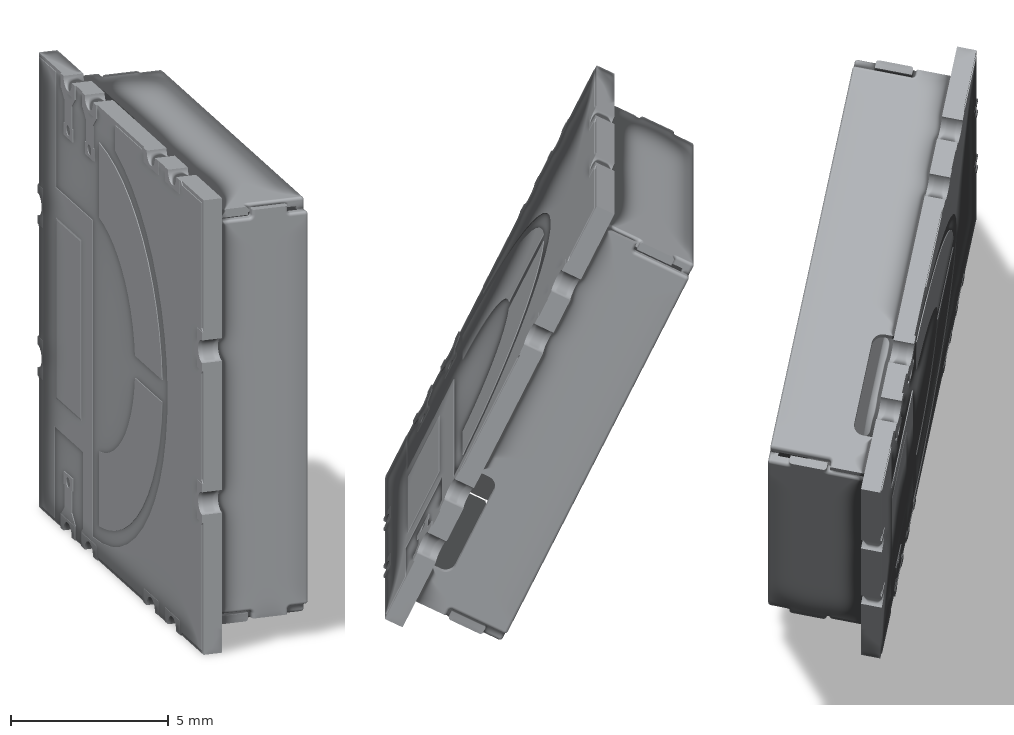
import cadquery as cq
import math


BOARD_SIDE = 15.24
BOARD_HALF = BOARD_SIDE / 2
BOARD_THICK = 0.62
FRONT_Y = -BOARD_THICK
PAD_HEIGHT = 0.05
COPPER_HEIGHT = 0.03

NOTCH_RADIUS = 0.38
PAD_HALF_WIDTH = 0.65
PAD_DEPTH = 0.47
OUTER_PITCH = 4.83
INNER_PITCH = 2.87
SIDE_PITCH = 2.55

EDGE_PLACES = [
    (x, z)
    for x in (-OUTER_PITCH, -INNER_PITCH, INNER_PITCH, OUTER_PITCH)
    for z in (-BOARD_HALF, BOARD_HALF)
]
SIDE_PLACES = [(x, z) for x in (-BOARD_HALF, BOARD_HALF) for z in (-SIDE_PITCH, SIDE_PITCH)]

FRAME = 0.12
PAD_GAP = 0.1
PAD_REACH = PAD_HALF_WIDTH + PAD_GAP
SWEEP_X = -2.6
SWEEP_RADIUS = 6.98
SWEEP_LEFT_END = -0.49
UPPER_VOID_LEFT = -6.0
UPPER_VOID_BOTTOM = 3.63
LOWER_VOID_LEFT = -6.11
LOWER_VOID_RIGHT = -3.45
LOWER_VOID_TOP = -4.42
LOWER_VOID_CHAMFER = 0.17

RING_OUTER = 6.46
RING_INNER = 3.98
RING_LEFT = -1.98
RING_GAP = 0.75

TRACE_HALF_WIDTH = 0.32
TRACE_END_HALF_WIDTH = 0.41
TRACE_END_SIZE = 0.43
TRACE_LENGTH = 1.51
VIA_RADIUS = 0.17
VIA_INSET = 0.26
SIGNAL_PLACES = [(-OUTER_PITCH, 1), (-INNER_PITCH, 1), (-OUTER_PITCH, -1)]

LABEL_WIDTH = 2.33
LABEL_HEIGHT = 6.07
LABEL_X = -4.77
LABEL_Z = -0.4
LABEL_EDGE = 0.06

CAN_SIDE = 13.9
CAN_HALF = CAN_SIDE / 2
CAN_HEIGHT = 3.15
WALL = 0.27
CORNER_CUT = 0.37
BEND_RADIUS = 0.099
CAN_INNER = CAN_HALF - WALL
CAN_CUT = CAN_HALF - CORNER_CUT
TAB_HALF = CAN_HALF - BEND_RADIUS
SIDE_TAB_BOTTOM = CAN_HEIGHT - 1.89
SIDE_TAB_TOP = CAN_HEIGHT - 0.69
END_LEDGE_TOP = CAN_HEIGHT - 2.0
PROBE = 0.02

OPENING_LEFT = -5.6
OPENING_RIGHT = -2.12
OPENING_HEIGHT = 0.7
OPENING_RADIUS = 0.35

BEAD_RADIUS = 0.47
BEAD_BEND_X = -4.02
BEAD_BEND_RADIUS = 1.02
BEAD_END_X = OPENING_RIGHT + BEAD_RADIUS
BEAD_Z = 5.49


def block(x0, x1, y0, y1, z0, z1):
    """Box between two opposite corners."""
    return cq.Workplane("XY").box(x1 - x0, y1 - y0, z1 - z0, centered=False).translate((x0, y0, z0))


def front_sketch(y):
    """Workplane seen from -Y, with local axes along +X and +Z."""
    return cq.Workplane("XZ", origin=(0, y, 0))


def copper(points):
    """Raised copper area with a straight-sided outline."""
    return front_sketch(FRONT_Y).polyline(points).close().extrude(COPPER_HEIGHT)


def edge_bridge(low, high, angle):
    """Copper joining the ground area to a board edge, tapering outward.

    It is drawn on the +X edge between the heights low and high, then turned about Y.
    """
    inset = BOARD_HALF - FRAME
    bridge = copper([
        (inset, low),
        (BOARD_HALF, low + FRAME),
        (BOARD_HALF, high - FRAME),
        (inset, high),
    ])
    return bridge.rotate((0, 0, 0), (0, 1, 0), angle)


def upper_void():
    """Copper-free region with the signal pads and ring islands, bounded by an arc on the right."""
    arc_top = math.sqrt(SWEEP_RADIUS**2 - (SWEEP_LEFT_END - SWEEP_X) ** 2)
    return (
        front_sketch(FRONT_Y)
        .moveTo(UPPER_VOID_LEFT, BOARD_HALF)
        .lineTo(UPPER_VOID_LEFT, UPPER_VOID_BOTTOM)
        .lineTo(SWEEP_X, UPPER_VOID_BOTTOM)
        .lineTo(SWEEP_X, -SWEEP_RADIUS)
        .threePointArc((SWEEP_X + SWEEP_RADIUS, 0), (SWEEP_LEFT_END, arc_top))
        .lineTo(SWEEP_LEFT_END, BOARD_HALF)
        .close()
        .extrude(COPPER_HEIGHT)
    )


def lower_void():
    """Copper-free region around the lower signal pad."""
    neighbour_left = -INNER_PITCH - PAD_REACH
    pad_top = -BOARD_HALF + PAD_DEPTH
    return copper([
        (LOWER_VOID_LEFT, -BOARD_HALF),
        (LOWER_VOID_LEFT, LOWER_VOID_TOP),
        (LOWER_VOID_RIGHT, LOWER_VOID_TOP),
        (LOWER_VOID_RIGHT, pad_top + LOWER_VOID_CHAMFER),
        (neighbour_left, pad_top),
        (neighbour_left, -BOARD_HALF),
    ])


def ground_area():
    """Ground area: inset from the board edge, but running out to it at the ground pads."""
    inset = BOARD_HALF - FRAME
    area = block(-inset, inset, FRONT_Y - COPPER_HEIGHT, FRONT_Y, -inset, inset)
    for angle in (0, 180):
        for z in (-SIDE_PITCH, SIDE_PITCH):
            area = area.union(edge_bridge(z - PAD_REACH, z + PAD_REACH, angle))
    pair = (INNER_PITCH - PAD_REACH - FRAME, OUTER_PITCH + PAD_REACH + FRAME)
    area = area.union(edge_bridge(*pair, 90).mirror("XY")).union(edge_bridge(*pair, 90))
    lone_pad = block(
        -INNER_PITCH - PAD_REACH, -INNER_PITCH + PAD_REACH,
        FRONT_Y - COPPER_HEIGHT, FRONT_Y,
        -BOARD_HALF, -inset,
    )
    return area.union(lone_pad).cut(upper_void()).cut(lower_void())


def ring_islands():
    """Ring about the sweep centre, cut off at the left and split by a horizontal gap."""
    depth_range = (FRONT_Y - COPPER_HEIGHT, FRONT_Y)
    outline = front_sketch(FRONT_Y).center(SWEEP_X, 0).circle(RING_OUTER).circle(RING_INNER)
    ring = outline.extrude(COPPER_HEIGHT)
    upper = block(RING_LEFT, BOARD_HALF, *depth_range, RING_GAP / 2, BOARD_HALF)
    return ring.intersect(upper.union(upper.mirror("XY")))


def trace(x, side):
    """Tapered signal trace running inward from a pad at the top (+1) or bottom (-1), around its via."""
    start = BOARD_HALF - PAD_DEPTH
    neck = start - (PAD_HALF_WIDTH - TRACE_HALF_WIDTH)
    end = start - TRACE_LENGTH
    half_outline = [
        (PAD_HALF_WIDTH, start),
        (TRACE_HALF_WIDTH, neck),
        (TRACE_HALF_WIDTH, end + TRACE_END_SIZE),
        (TRACE_END_HALF_WIDTH, end + TRACE_END_SIZE),
        (TRACE_END_HALF_WIDTH, end),
    ]
    outline = half_outline + [(-u, z) for u, z in reversed(half_outline)]
    outline = [(x + u, side * z) for u, z in outline]
    via = front_sketch(FRONT_Y).center(x, side * (end + VIA_INSET)).circle(VIA_RADIUS).extrude(COPPER_HEIGHT)
    return copper(outline).cut(via)


def label():
    """Rectangle with a sloping rim, raised from the copper to the level of the pads."""
    return (
        front_sketch(FRONT_Y - COPPER_HEIGHT)
        .center(LABEL_X, LABEL_Z)
        .rect(LABEL_WIDTH, LABEL_HEIGHT)
        .workplane(offset=PAD_HEIGHT - COPPER_HEIGHT)
        .rect(LABEL_WIDTH - 2 * LABEL_EDGE, LABEL_HEIGHT - 2 * LABEL_EDGE)
        .loft()
    )


def pads():
    """Pads along the board edges, before the notches are cut."""
    edge_pads = front_sketch(FRONT_Y).pushPoints(EDGE_PLACES).rect(2 * PAD_HALF_WIDTH, 2 * PAD_DEPTH)
    side_pads = front_sketch(FRONT_Y).pushPoints(SIDE_PLACES).rect(2 * PAD_DEPTH, 2 * PAD_HALF_WIDTH)
    pad_layer = block(-BOARD_HALF, BOARD_HALF, FRONT_Y - PAD_HEIGHT, FRONT_Y, -BOARD_HALF, BOARD_HALF)
    return edge_pads.extrude(PAD_HEIGHT).union(side_pads.extrude(PAD_HEIGHT)).intersect(pad_layer)


def notches():
    """Cutters for the half-round edge notches."""
    centres = front_sketch(0).pushPoints(EDGE_PLACES + SIDE_PLACES)
    return centres.circle(NOTCH_RADIUS).extrude(BOARD_THICK + PAD_HEIGHT)


def board():
    """Board with its raised front features and half-round edge notches."""
    body = block(-BOARD_HALF, BOARD_HALF, FRONT_Y, 0, -BOARD_HALF, BOARD_HALF)
    body = body.union(ground_area()).union(ring_islands())
    for x, side in SIGNAL_PLACES:
        body = body.union(trace(x, side))
    return body.union(pads()).union(label()).cut(notches())


def wall(steps):
    """Wall of the can on its +Z side.

    Each step is (bottom, top, half_width); the steps stack up from the board to the top of the can.
    """
    right_side = [point for bottom, top, half in steps for point in ((half, bottom), (half, top))]
    outline = right_side + [(-x, y) for x, y in reversed(right_side)]
    panel = cq.Workplane("XY", origin=(0, 0, CAN_INNER)).polyline(outline).close().extrude(WALL)
    corner_heights = [bottom for bottom, _, _ in steps[1:]]
    for x in (-CAN_CUT, CAN_CUT):
        for y in corner_heights:
            around = cq.selectors.BoxSelector((x - PROBE, y - PROBE, 0), (x + PROBE, y + PROBE, CAN_SIDE))
            panel = panel.edges("|Z").edges(around).fillet(BEND_RADIUS)
    notch_edges = cq.selectors.BoxSelector(
        (PROBE - TAB_HALF, PROBE, 0), (TAB_HALF - PROBE, CAN_HEIGHT - PROBE, CAN_SIDE)
    )
    return panel.faces(">Z").edges(notch_edges).fillet(BEND_RADIUS)


def can():
    """Top plate with four folded walls whose tabs interlock at the corners."""
    end_wall = wall([(0, END_LEDGE_TOP, TAB_HALF), (END_LEDGE_TOP, CAN_HEIGHT, CAN_CUT)])
    side_wall = wall([
        (0, SIDE_TAB_BOTTOM, CAN_CUT),
        (SIDE_TAB_BOTTOM, SIDE_TAB_TOP, TAB_HALF),
        (SIDE_TAB_TOP, CAN_HEIGHT, CAN_CUT),
    ])
    plate_range = (CAN_HEIGHT - WALL, CAN_HEIGHT)
    plate = block(-CAN_INNER, CAN_INNER, *plate_range, -CAN_CUT, CAN_CUT)
    plate = plate.union(block(-CAN_CUT, CAN_CUT, *plate_range, -CAN_INNER, CAN_INNER))
    opening = (
        block(OPENING_LEFT, OPENING_RIGHT, 0, OPENING_HEIGHT, -CAN_HALF, CAN_HALF)
        .faces(">Y").edges("|Z").fillet(OPENING_RADIUS)
    )
    shell = plate
    for angle in (0, 180):
        shell = shell.union(end_wall.rotate((0, 0, 0), (0, 1, 0), angle))
    for angle in (90, 270):
        shell = shell.union(side_wall.rotate((0, 0, 0), (0, 1, 0), angle))
    return shell.faces(">Y").edges().fillet(BEND_RADIUS).cut(opening)


def bead():
    """Half-round bead: a straight run along X with a quarter bend toward -Z at its left end."""
    bend_z = BEAD_Z - BEAD_BEND_RADIUS
    diagonal = BEAD_BEND_RADIUS * math.sqrt(0.5)
    path = (
        cq.Workplane("XZ")
        .moveTo(BEAD_END_X, BEAD_Z)
        .lineTo(BEAD_BEND_X, BEAD_Z)
        .threePointArc((BEAD_BEND_X - diagonal, bend_z + diagonal), (BEAD_BEND_X - BEAD_BEND_RADIUS, bend_z))
    )
    tube = cq.Workplane("YZ", origin=(BEAD_END_X, 0, BEAD_Z)).circle(BEAD_RADIUS).sweep(path)
    return tube.intersect(block(-CAN_HALF, CAN_HALF, 0, CAN_HEIGHT, 0, CAN_HALF))


result = board().union(can()).union(bead())